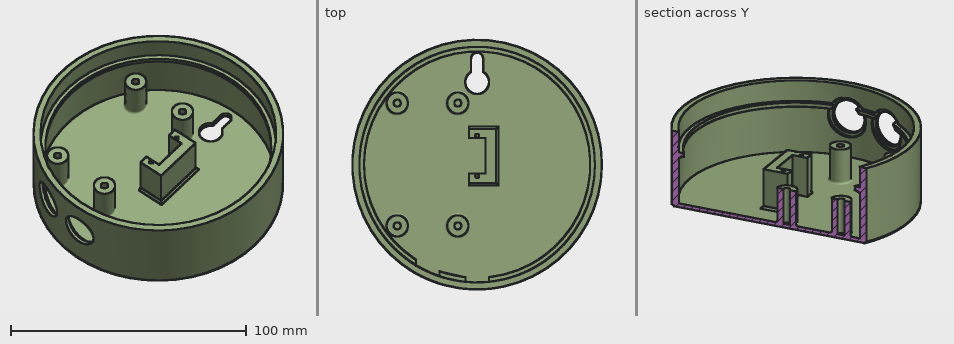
import cadquery as cq
import math

outer_radius = 53.0
height = 35.0
floor_thickness = 2.0
bottom_chamfer = 1.0
inner_radius = 50.0

ring_inner_radius = 48.0
ring_outer_radius = 52.0
ring_top_z = 25.6
ring_straight_bottom_z = 23.8
ring_bevel_bottom_z = 21.8

cable_hole_diameter = 15.0
cable_hole_z = 20.0
cable_hole_xs = (-21.0, 0.0)
cable_recess_diameter = 18.0
cable_recess_radius = 51.2

keyhole_head_diameter = 10.0
keyhole_head_y = 35.0
keyhole_slot_width = 5.0
keyhole_slot_length = 10.0

post_diameter = 9.0
post_hole_diameter = 3.0
post_top_z = 18.0
post_fillet = 1.0
post_xs = (-33.9, -8.2)
post_ys = (-26.0, 26.1)

bracket_x_min = -3.4
bracket_x_max = 8.0
bracket_width = 23.0
bracket_center_y = 3.7
bracket_top_z = 20.0
bracket_slot_x_max = 3.5
bracket_slot_width = 15.0
bracket_foot = 1.0
bracket_hole_diameter = 1.6
bracket_hole_x = 0.0
bracket_hole_spacing = 17.1


def make_cup():
    """Plain turned cup with a bevelled bottom edge."""
    profile = [
        (0, 0),
        (outer_radius - bottom_chamfer, 0),
        (outer_radius, bottom_chamfer),
        (outer_radius, height),
        (inner_radius, height),
        (inner_radius, floor_thickness),
        (0, floor_thickness),
    ]
    return cq.Workplane("XZ").polyline(profile).close().revolve(360, (0, 0), (0, 1))


def make_ring():
    """Inner ring with a flat top and a bevelled underside."""
    profile = [
        (ring_outer_radius, ring_top_z),
        (ring_inner_radius, ring_top_z),
        (ring_inner_radius, ring_straight_bottom_z),
        (ring_outer_radius, ring_bevel_bottom_z),
    ]
    return cq.Workplane("XZ").polyline(profile).close().revolve(360, (0, 0), (0, 1))


def cable_cylinders(diameter):
    """Cylinders along Y at the cable holes, running from the middle out through the -Y wall."""
    hole_centers = [(x, cable_hole_z) for x in cable_hole_xs]
    return (
        cq.Workplane("XZ")
        .pushPoints(hole_centers)
        .circle(diameter / 2)
        .extrude(outer_radius)
    )


def make_cable_recesses():
    """Round recesses that thin the wall from inside around each cable hole."""
    reach = cq.Workplane("XY").circle(cable_recess_radius).extrude(height)
    return cable_cylinders(cable_recess_diameter).intersect(reach)


def make_keyhole():
    """Round head with a round-ended slot running toward +Y."""
    slot_end_y = keyhole_head_y + keyhole_slot_length
    head = (
        cq.Workplane("XY")
        .center(0, keyhole_head_y)
        .circle(keyhole_head_diameter / 2)
        .extrude(floor_thickness)
    )
    slot = (
        cq.Workplane("XY")
        .center(0, (keyhole_head_y + slot_end_y) / 2)
        .slot2D(keyhole_slot_length + keyhole_slot_width, keyhole_slot_width, 90)
        .extrude(floor_thickness)
    )
    return head.union(slot)


def make_post(x, y):
    """Post drilled down to floor level, with a concave fillet blending it into the floor."""
    radius = post_diameter / 2
    hole_radius = post_hole_diameter / 2
    fillet_inset = post_fillet * (1 - math.sqrt(0.5))
    return (
        cq.Workplane("XZ")
        .moveTo(hole_radius, floor_thickness)
        .lineTo(radius + post_fillet, floor_thickness)
        .threePointArc(
            (radius + fillet_inset, floor_thickness + fillet_inset),
            (radius, floor_thickness + post_fillet),
        )
        .lineTo(radius, post_top_z)
        .lineTo(hole_radius, post_top_z)
        .close()
        .revolve(360, (0, 0), (0, 1))
        .translate((x, y, 0))
    )


def make_bracket():
    """U-shaped block with a bevelled foot on its three closed sides."""
    bracket_height = bracket_top_z - floor_thickness
    base = cq.Workplane("XY", origin=(bracket_x_min, bracket_center_y, floor_thickness))
    body_length = bracket_x_max - bracket_x_min
    slot_length = bracket_slot_x_max - bracket_x_min

    block = base.rect(2 * body_length, bracket_width).extrude(bracket_height)
    foot_length = body_length + bracket_foot
    foot_width = bracket_width + 2 * bracket_foot
    foot = (
        base.rect(2 * foot_length, foot_width)
        .workplane(offset=bracket_foot)
        .rect(2 * body_length, bracket_width)
        .loft(ruled=True)
    )
    open_side = base.center(-foot_length, 0).rect(2 * foot_length, foot_width).extrude(bracket_height)
    slot = base.rect(2 * slot_length, bracket_slot_width).extrude(bracket_height)
    screw_holes = (
        base.center(bracket_hole_x - bracket_x_min, 0)
        .rarray(1, bracket_hole_spacing, 1, 2)
        .circle(bracket_hole_diameter / 2)
        .extrude(bracket_height)
    )
    return block.union(foot).cut(open_side).cut(slot).cut(screw_holes)


result = make_cup().cut(make_cable_recesses()).union(make_ring())
result = result.cut(cable_cylinders(cable_hole_diameter)).cut(make_keyhole())
for post_x in post_xs:
    for post_y in post_ys:
        result = result.union(make_post(post_x, post_y))
result = result.union(make_bracket())